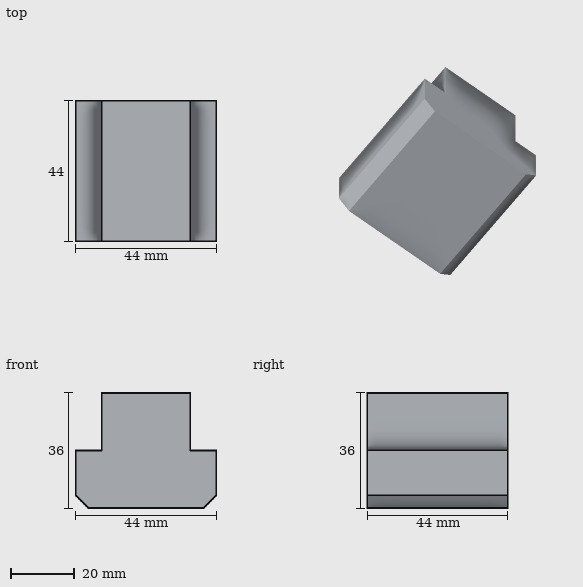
import cadquery as cq

base_width = 44.0
length = 44.0
total_height = 36.0
base_height = total_height / 2
neck_width = 27.7
chamfer_size = 4.0

base = cq.Workplane("XY").box(base_width, length, base_height, centered=(True, True, False))
base = base.faces("<Z").edges("|Y").chamfer(chamfer_size)

neck = cq.Workplane("XY").box(neck_width, length, total_height, centered=(True, True, False))

result = base.union(neck)